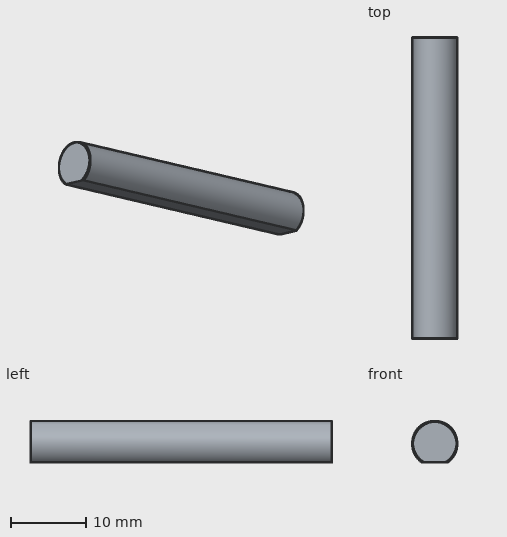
import cadquery as cq

DIAMETER = 6.0
LENGTH = 40.0
HEIGHT_OVER_FLAT = 5.5
CHAMFER = 0.125

RADIUS = DIAMETER / 2
FLAT_DEPTH = DIAMETER - HEIGHT_OVER_FLAT


def chamfered_pin():
    """Round pin along Y, centred on the origin, with both end rims chamfered."""
    pin = cq.Workplane("XZ").circle(RADIUS).extrude(LENGTH / 2, both=True)
    return pin.faces("<Y or >Y").edges().chamfer(CHAMFER)


def flat_cutter():
    """Block that removes the underside of the pin to leave a full-length flat."""
    flat_z = RADIUS - HEIGHT_OVER_FLAT
    block = cq.Workplane("XY").box(DIAMETER, LENGTH, FLAT_DEPTH)
    return block.translate((0, 0, flat_z - FLAT_DEPTH / 2))


result = chamfered_pin().cut(flat_cutter())